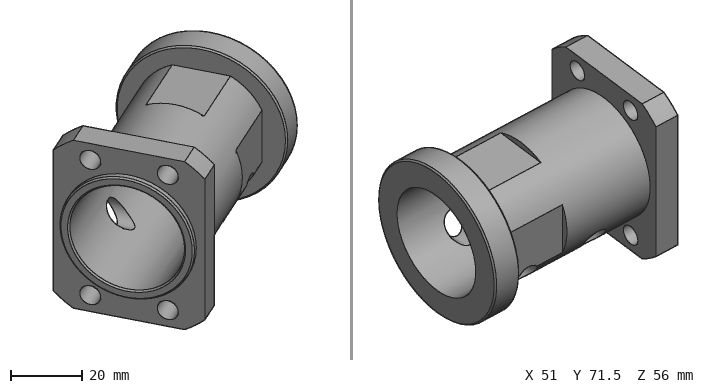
import cadquery as cq

length = 71.5
body_diameter = 40.0
bore_diameter = 34.0
edge_chamfer = 0.5

flange_diameter = 51.0
flange_thickness = 9.0
flange_front = length - flange_thickness

plate_width = 45.05
plate_height = 56.0
plate_thickness = 8.0
plate_setback = 2.0
plate_corner_diameter = 65.0

bolt_hole_diameter = 6.2
bolt_spacing_x = 23.0
bolt_spacing_z = 45.05

flats_across = 36.05
flats_length = 21.95
flats_front = flange_front - flats_length

cross_hole_diameter = 8.0
cross_hole_z = -11.2
cross_hole_spacing = 25.0
cross_hole_setback = 18.5
rear_cross_hole_y = length - cross_hole_setback
cross_hole_positions = (rear_cross_hole_y, rear_cross_hole_y - cross_hole_spacing)


def front_plane(y):
    """XZ sketch plane at the given Y, extruding toward +Y."""
    return cq.Workplane(cq.Plane(origin=(0, y, 0), xDir=(1, 0, 0), normal=(0, 1, 0)))


def cylinder(diameter, y, depth):
    return front_plane(y).circle(diameter / 2).extrude(depth)


def make_body():
    body = cylinder(body_diameter, 0, length).faces("<Y").chamfer(edge_chamfer)
    flat_ring = (
        front_plane(flats_front)
        .rect(2 * body_diameter, 2 * body_diameter)
        .rect(flats_across, flats_across)
        .extrude(flats_length)
    )
    return body.cut(flat_ring)


def make_flange():
    flange = cylinder(flange_diameter, flange_front, flange_thickness)
    return flange.edges("%CIRCLE").chamfer(edge_chamfer)


def make_plate():
    plate = front_plane(plate_setback).rect(plate_width, plate_height).extrude(plate_thickness)
    plate = plate.intersect(cylinder(plate_corner_diameter, plate_setback, plate_thickness))
    bolt_holes = (
        front_plane(plate_setback)
        .rect(bolt_spacing_x, bolt_spacing_z, forConstruction=True)
        .vertices()
        .circle(bolt_hole_diameter / 2)
        .extrude(plate_thickness)
    )
    return plate.cut(bolt_holes)


def make_bore():
    """Through bore, widened by a conical chamfer at the front end."""
    radius = bore_diameter / 2
    return (
        cq.Workplane("XY")
        .polyline([
            (0, 0),
            (radius + edge_chamfer, 0),
            (radius, edge_chamfer),
            (radius, length),
            (0, length),
        ])
        .close()
        .revolve(360, (0, 0, 0), (0, 1, 0))
    )


def make_cross_holes():
    return (
        cq.Workplane("YZ")
        .pushPoints([(y, cross_hole_z) for y in cross_hole_positions])
        .circle(cross_hole_diameter / 2)
        .extrude(body_diameter / 2, both=True)
    )


result = make_body().union(make_flange()).union(make_plate())
result = result.cut(make_bore()).cut(make_cross_holes())